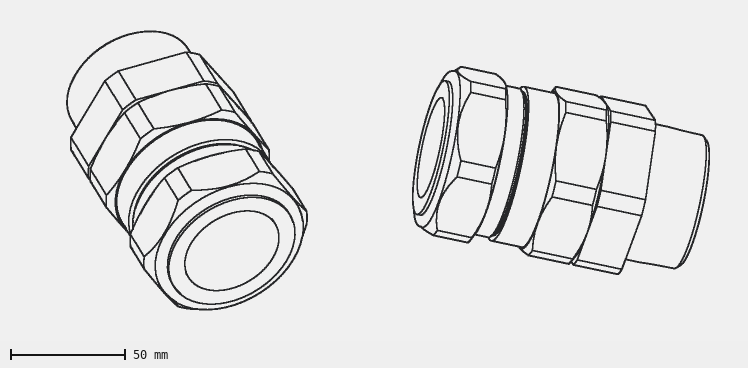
import cadquery as cq
import math

length = 118.2
bore_radius = 22.2

across_flats = 70.1
corner_radius = 38.5
flat_radius = across_flats / 2
hexagon_diameter = across_flats / math.cos(math.pi / 6)

tip_radius = 28.0
thread_start_radius = 29.8
spigot_radius = 30.3
tip_chamfer_length = 1.9
taper_end = 17.4

flange_start = 27.3
flange_end = 47.5

chamfer_length = 2.0
body_hex_end = 69.9

collar_radius = 34.4
collar_end = 83.6
groove_radius = 32.2
groove_width = 0.7
neck_radius = 33.2
neck_chamfer = neck_radius - groove_radius

nut_start = 93.1
nut_end = 116.7
nut_cone_start = 110.9
nut_rim_radius = 34.8
rim_rounding = 1.2
lip_radius = 29.8


def turned(points):
    """Solid of revolution about X; points are (x, radius) along the outer edge."""
    closed = [(points[0][0], 0)] + points + [(points[-1][0], 0)]
    return cq.Workplane("XZ").polyline(closed).close().revolve(360, (0, 0, 0), (1, 0, 0))


def hexagon(start, end):
    """Hexagonal bar along X with its corners on the Y axis."""
    return cq.Workplane("YZ", origin=(start, 0, 0)).polygon(6, hexagon_diameter).extrude(end - start)


def make_spigot():
    return turned([
        (0, tip_radius),
        (tip_chamfer_length, thread_start_radius),
        (taper_end, spigot_radius),
        (flange_start, spigot_radius),
    ])


def make_flange():
    envelope = turned([(flange_start, corner_radius), (flange_end, corner_radius)])
    return hexagon(flange_start, flange_end).intersect(envelope)


def make_body_hexagon():
    envelope = turned([
        (flange_end, flat_radius),
        (flange_end + chamfer_length, corner_radius),
        (body_hex_end - chamfer_length, corner_radius),
        (body_hex_end, flat_radius),
    ])
    return hexagon(flange_end, body_hex_end).intersect(envelope)


def make_collar_and_neck():
    groove_end = collar_end + groove_width
    return turned([
        (body_hex_end, collar_radius),
        (collar_end, collar_radius),
        (collar_end, groove_radius),
        (groove_end, groove_radius),
        (groove_end + neck_chamfer, neck_radius),
        (nut_start, neck_radius),
    ])


def make_nut():
    cone_end = nut_cone_start + corner_radius - nut_rim_radius
    envelope = turned([
        (nut_start, nut_rim_radius),
        (nut_start + chamfer_length, corner_radius),
        (nut_cone_start, corner_radius),
        (cone_end, nut_rim_radius),
        (nut_end, nut_rim_radius),
    ])
    nut = hexagon(nut_start, nut_end).intersect(envelope)
    return nut.faces(">X").edges().fillet(rim_rounding)


def make_lip():
    return turned([(nut_end, lip_radius), (length, lip_radius)])


gland = make_spigot()
for section in (make_flange(), make_body_hexagon(), make_collar_and_neck(), make_nut(), make_lip()):
    gland = gland.union(section)

bore = turned([(0, bore_radius), (length, bore_radius)])
result = gland.cut(bore)